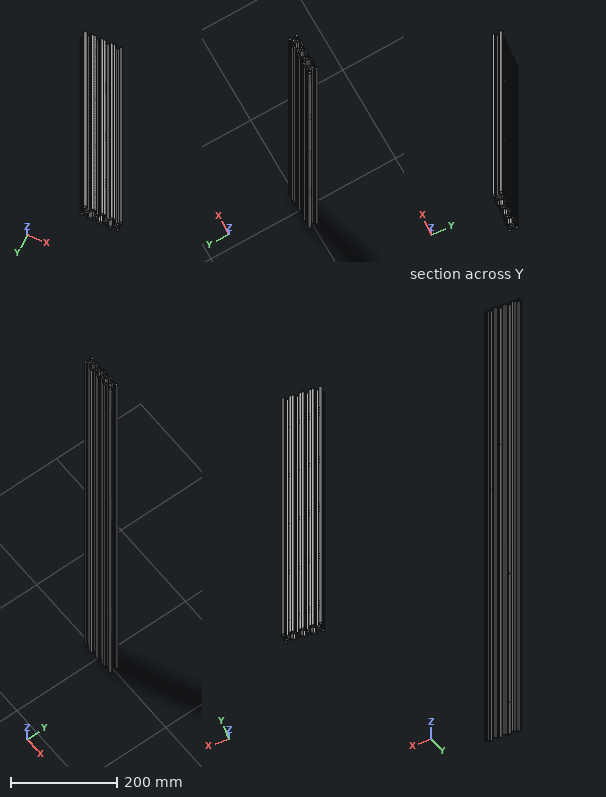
import cadquery as cq

length = 1000.0
cell = 20.0
cell_count = 4
width = cell * cell_count
half_cell = cell / 2
corner_radius = 1.5

mouth_width = 9.5
neck_width = 6.0
lip_thickness = 2.2
pocket_width = 10.0
pocket_side = 2.0
floor_width = 4.0
slot_depth = 5.3

bore_diameter = 4.2

hollow_width = 12.0
hollow_height = 14.0
hollow_side = 5.0
hollow_flat = 4.0

mark_width = 0.6
mark_depth = 0.2

cell_centers = [(i - (cell_count - 1) / 2) * cell for i in range(cell_count)]
joint_centers = [(i - cell_count / 2) * cell for i in range(1, cell_count)]


def mirrored_prism(right_points):
    """Full-length prism whose outline is right_points and their mirror image across X = 0."""
    left_points = [(-x, y) for x, y in reversed(right_points)]
    return cq.Workplane("XY").polyline(right_points + left_points).close().extrude(length)


def turned(cutter, angle):
    return cutter.rotate((0, 0, 0), (0, 0, 1), angle)


def v_slot():
    """Slot of a cell centred on the origin, open toward +Y."""
    neck_y = half_cell - (mouth_width - neck_width) / 2
    lip_y = half_cell - lip_thickness
    return mirrored_prism([
        (mouth_width / 2, half_cell),
        (neck_width / 2, neck_y),
        (neck_width / 2, lip_y),
        (pocket_width / 2, lip_y),
        (pocket_width / 2, lip_y - pocket_side),
        (floor_width / 2, half_cell - slot_depth),
    ])


def hollow():
    return mirrored_prism([
        (hollow_flat / 2, hollow_height / 2),
        (hollow_width / 2, hollow_side / 2),
        (hollow_width / 2, -hollow_side / 2),
        (hollow_flat / 2, -hollow_height / 2),
    ])


def marking_groove():
    """Groove centred on X = 0, open toward +Y."""
    outline = [
        (-mark_width / 2, half_cell),
        (0, half_cell - mark_depth),
        (mark_width / 2, half_cell),
    ]
    return cq.Workplane("XY").polyline(outline).close().extrude(length)


def bore():
    return cq.Workplane("XY").circle(bore_diameter / 2).extrude(length)


result = cq.Workplane("XY").rect(width, cell).extrude(length).edges("|Z").fillet(corner_radius)

for x in cell_centers:
    for cutter in (bore(), v_slot(), turned(v_slot(), 180)):
        result = result.cut(cutter.translate((x, 0, 0)))

for x, angle in ((cell_centers[0], 90), (cell_centers[-1], -90)):
    result = result.cut(turned(v_slot(), angle).translate((x, 0, 0)))

for x in joint_centers:
    for cutter in (hollow(), marking_groove(), turned(marking_groove(), 180)):
        result = result.cut(cutter.translate((x, 0, 0)))